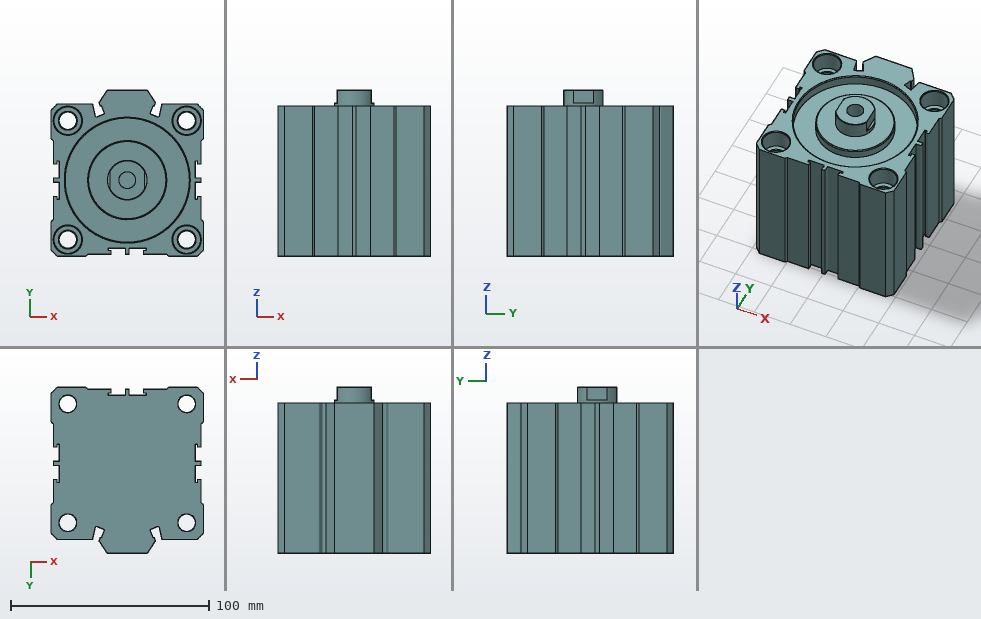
import cadquery as cq

body_width = 77.0
overall_depth = 84.0
overall_height = 84.0
body_height = 76.0
half_width = body_width / 2
rail_top = overall_depth - half_width
corner_chamfer = 3.3

step_half_length = 21.0
side_step_depth = 1.2
front_step_depth = 1.0

slot_opening_half = 8.15
slot_inner_half = 9.6
slot_lip_depth = 3.1
slot_floor_depth = 4.1
side_rib_width = 2.2
front_rib_width = 1.85
slot_edge_radius = 0.3

rail_tip_half = 10.1
rail_nose = (14.3, 39.15)
rail_nose_base = (13.7, 37.55)
rail_neck = (13.1, 37.5)
rail_nose_radius = 0.5

groove_mouth_half = 17.5
groove_floor_outer = (16.0, 31.7)
groove_floor_inner = (11.5, 33.5)
groove_mouth_radius = 0.75
groove_floor_radius = 0.6

mount_offset = 30.0
mount_diameter = 8.7
mount_chamfer = 0.4
counterbore_diameter = 13.95
counterbore_depth = 10.5
counterbore_chamfer = 0.4

recess_diameter = 62.7
recess_depth = 5.5
recess_chamfer = 0.5
boss_diameter = 40.0
boss_height = 4.7
boss_chamfer = 0.5

rod_diameter = 20.0
rod_embedded_length = 25.2
rod_chamfer = 0.25
flat_spacing = 17.2
flat_height = 6.55
rod_bore_diameter = 8.5
rod_bore_depth = 15.1

recess_floor = body_height - recess_depth
counterbore_floor = body_height - counterbore_depth
rod_bottom = body_height - rod_embedded_length


def prism(points):
    """Solid of the body's height standing on the base plane."""
    return cq.Workplane("XY").polyline(points).close().extrude(body_height)


def cylinder(diameter, bottom, top):
    return cq.Workplane("XY").workplane(offset=bottom).circle(diameter / 2).extrude(top - bottom)


def hole_chamfer(diameter, chamfer, top):
    """Cone that bevels the rim of a hole whose mouth is at height top."""
    return (
        cq.Workplane("XY")
        .workplane(offset=top)
        .circle(diameter / 2 + chamfer)
        .extrude(-chamfer, taper=45)
    )


def mirrored(points):
    """The points, followed by their mirror images across the YZ plane in reverse order."""
    return points + [(-x, y) for x, y in reversed(points)]


def round_upright_edges(solid, corner, radius):
    """Round the vertical edge at a corner and the one at its mirror image."""
    for x in (-corner[0], corner[0]):
        edge = cq.selectors.NearestToPointSelector((x, corner[1], body_height / 2))
        solid = solid.edges(edge).fillet(radius)
    return solid


def make_block():
    block = cq.Workplane("XY").rect(body_width, body_width).extrude(body_height)
    return block.edges("|Z").chamfer(corner_chamfer)


def cut_slotted_face(body, step_depth, rib_width):
    """Cut the step and the T-slot into the front (-Y) face; a rib stays in the slot's middle."""
    step_face = step_depth - half_width
    lip_face = slot_lip_depth - half_width
    slot_floor = slot_floor_depth - half_width
    step = mirrored(
        [(step_half_length, -half_width), (step_half_length - step_depth, step_face)]
    )
    slot_half = [
        (rib_width / 2, step_face),
        (slot_opening_half, step_face),
        (slot_opening_half, lip_face),
        (slot_inner_half, lip_face),
        (slot_inner_half, slot_floor),
        (rib_width / 2, slot_floor),
    ]
    slot = prism(slot_half)
    return body.cut(prism(step)).cut(slot).cut(slot.mirror("YZ"))


def make_slotted_block():
    body = make_block()
    z_axis = ((0, 0, 0), (0, 0, 1))

    side_step_face = side_step_depth - half_width
    for angle in (-90, 90):
        body = body.rotate(*z_axis, angle)
        body = cut_slotted_face(body, side_step_depth, side_rib_width)
        for half in (slot_opening_half, side_rib_width / 2):
            body = round_upright_edges(body, (half, side_step_face), slot_edge_radius)
        body = body.rotate(*z_axis, -angle)

    body = cut_slotted_face(body, front_step_depth, front_rib_width)
    rib_root = (front_rib_width / 2, slot_floor_depth - half_width)
    return round_upright_edges(body, rib_root, slot_edge_radius)


def add_rail(body):
    """Open the back face, then fill the opening's middle with the rail, leaving two grooves."""
    mouth = (groove_mouth_half, half_width)
    body = body.cut(prism(mirrored([mouth, groove_floor_outer, groove_floor_inner])))
    body = round_upright_edges(body, mouth, groove_mouth_radius)
    body = round_upright_edges(body, groove_floor_outer, groove_floor_radius)

    rail_outline = mirrored(
        [(rail_tip_half, rail_top), rail_nose, rail_nose_base, rail_neck, groove_floor_inner]
    )
    rail = round_upright_edges(prism(rail_outline), rail_nose, rail_nose_radius)
    return body.union(rail)


def cut_mounting_holes(body):
    hole = (
        cylinder(mount_diameter, 0, body_height)
        .union(cylinder(counterbore_diameter, counterbore_floor, body_height))
        .union(hole_chamfer(mount_diameter, mount_chamfer, counterbore_floor))
        .union(hole_chamfer(counterbore_diameter, counterbore_chamfer, body_height))
    )
    for x in (-mount_offset, mount_offset):
        for y in (-mount_offset, mount_offset):
            body = body.cut(hole.translate((x, y, 0)))
    return body


def cut_recess(body):
    """Cut the top recess around the guide boss."""
    recess = cylinder(recess_diameter, recess_floor, body_height)
    recess = recess.union(hole_chamfer(recess_diameter, recess_chamfer, body_height))
    boss = cylinder(boss_diameter, recess_floor, recess_floor + boss_height)
    boss = boss.faces(">Z").edges().chamfer(boss_chamfer)
    return body.cut(recess.cut(boss))


def make_housing():
    body = add_rail(make_slotted_block())
    body = cut_mounting_holes(body)
    body = cut_recess(body)
    rod_hole = cylinder(rod_diameter, rod_bottom, body_height)
    return body.cut(rod_hole)


def make_rod():
    rod = cylinder(rod_diameter, rod_bottom, overall_height)
    rod = rod.faces(">Z").edges().chamfer(rod_chamfer)

    flat_depth = (rod_diameter - flat_spacing) / 2
    flat_cutter = (
        cq.Workplane("XY")
        .workplane(offset=overall_height - flat_height)
        .pushPoints([(side * (flat_spacing + flat_depth) / 2, 0) for side in (-1, 1)])
        .rect(flat_depth, rod_diameter)
        .extrude(flat_height)
    )
    bore = cylinder(rod_bore_diameter, overall_height - rod_bore_depth, overall_height)
    return rod.cut(flat_cutter).cut(bore)


housing = make_housing()
rod = make_rod()
result = cq.Compound.makeCompound([housing.val(), rod.val()])